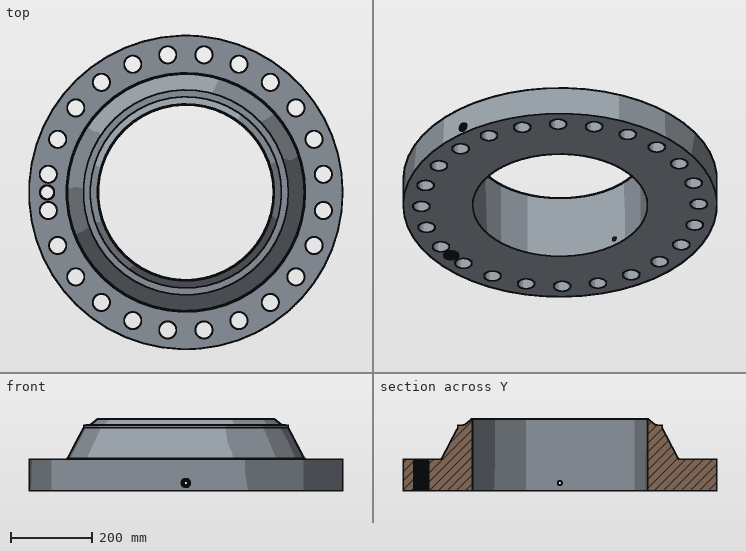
import cadquery as cq

flange_diameter = 775.0
flange_thickness = 78.0

overall_height = 177.5
bore_diameter = 431.5
hub_step_diameter = 590.0
hub_base_diameter = 584.0
hub_step_height = 2.0
hub_top_diameter = 506.0
hub_top_z = 162.0
hub_collar_height = 6.0

bevel_base_diameter = 472.0
bevel_base_z = 163.5
bevel_top_diameter = 437.0

bolt_count = 24
bolt_circle_diameter = 685.0
bolt_hole_diameter = 42.0

jack_major_diameter = 36.5
jack_minor_diameter = 33.0
jack_thread_count = 20

tapping_z = 19.0
tapping_diameter = 10.0
tapping_major_diameter = 22.0
tapping_minor_diameter = 17.0
tapping_thread_depth = 23.0
tapping_thread_count = 12


def revolved_body():
    """Plate, tapered hub and weld bevel as one turned profile around the bore."""
    return (
        cq.Workplane("XZ")
        .moveTo(bore_diameter / 2, 0)
        .lineTo(flange_diameter / 2, 0)
        .lineTo(flange_diameter / 2, flange_thickness)
        .lineTo(hub_step_diameter / 2, flange_thickness)
        .lineTo(hub_base_diameter / 2, flange_thickness + hub_step_height)
        .lineTo(hub_top_diameter / 2, hub_top_z - hub_collar_height)
        .lineTo(hub_top_diameter / 2, hub_top_z)
        .lineTo(bevel_base_diameter / 2, bevel_base_z)
        .lineTo(bevel_top_diameter / 2, overall_height)
        .lineTo(bore_diameter / 2, overall_height)
        .close()
        .revolve(360, (0, 0, 0), (0, 1, 0))
    )


def threaded_cutter(major_diameter, minor_diameter, depth, thread_count):
    """Cutter along +Z from the origin whose V-shaped rings leave thread grooves in the hole."""
    pitch = depth / thread_count
    profile = cq.Workplane("XZ").lineTo(major_diameter / 2, 0)
    for turn in range(thread_count):
        profile = profile.lineTo(minor_diameter / 2, (turn + 0.5) * pitch)
        profile = profile.lineTo(major_diameter / 2, (turn + 1) * pitch)
    return profile.lineTo(0, depth).close().revolve(360, (0, 0, 0), (0, 1, 0))


def bolt_holes():
    """Ring of through holes straddling the X and Y axes."""
    half_pitch_angle = 180 / bolt_count
    return (
        cq.Workplane("XY")
        .polarArray(bolt_circle_diameter / 2, half_pitch_angle, 360, bolt_count)
        .circle(bolt_hole_diameter / 2)
        .extrude(flange_thickness)
    )


def jack_hole():
    """Threaded hole through the plate, midway between two bolt holes."""
    cutter = threaded_cutter(
        jack_major_diameter, jack_minor_diameter, flange_thickness, jack_thread_count
    )
    return cutter.translate((-bolt_circle_diameter / 2, 0, 0))


def pressure_tapping():
    """Small hole along Y through both walls, threaded at each outer end."""
    cutter = (
        cq.Workplane("XZ", origin=(0, 0, tapping_z))
        .circle(tapping_diameter / 2)
        .extrude(flange_diameter / 2, both=True)
    )
    thread = threaded_cutter(
        tapping_major_diameter, tapping_minor_diameter, tapping_thread_depth, tapping_thread_count
    )
    front_thread = thread.rotate((0, 0, 0), (1, 0, 0), -90).translate((0, -flange_diameter / 2, tapping_z))
    return cutter.union(front_thread).union(front_thread.mirror("XZ"))


result = revolved_body().cut(bolt_holes()).cut(jack_hole()).cut(pressure_tapping())